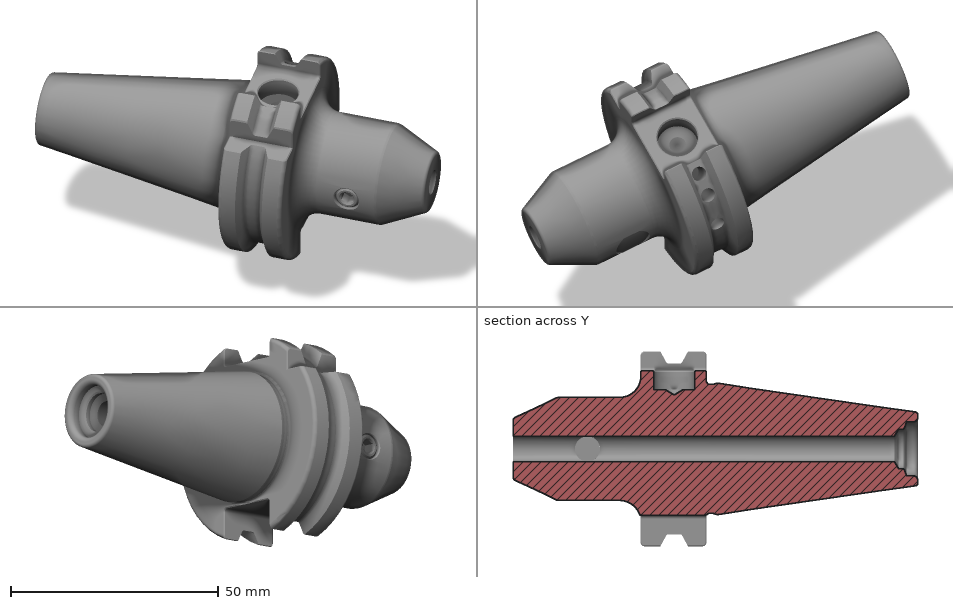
import cadquery as cq
import math

total_length = 97.8

margin = 0.1

tip_radius = 8.9
tip_fillet = 0.8
taper_slope = 7 / 24 / 2
taper_length = 48.4
taper_end_radius = tip_radius + taper_slope * taper_length
relief_radius = 15.6
relief_start = 49.5
relief_blend = 1.0
relief_fillet = 0.6

flange_start = 51.1
flange_end = 67.0
flange_diameter = 50.0
flange_radius = flange_diameter / 2
flange_width = flange_end - flange_start
flange_edge_fillet = 1.0
rim_chamfer = 0.24

groove_middle = 58.9
groove_floor_width = 3.5
groove_floor_radius = 22.2
groove_half_angle = 30
groove_floor_fillet = 0.7

slot_width = 16.4
slot_corner_fillet = 0.8
upper_slot_floor = 18.9
lower_slot_floor = -16.1
notch_wall_y = -14.9
notch_floor_z = 14.9

chip_diameter = 9.8
chip_depth = 4.6
chip_rim_chamfer = 0.3
chip_point_diameter = 4.0
drill_half_angle = 59

balance_angles = [30, 45, 68]
balance_diameter = 3.5
balance_depth = 7.8

nose_radius = 12.5
neck_fillet = 5.0
nose_cone_start = 87.0
nose_cone_blend = 1.4
nose_end_radius = 7.4
nose_end_fillet = 1.0

tool_bore_radius = 3.0
mouth_fillet = 1.2
pilot_radius = 6.5
pilot_depth = 2.7
seat_outer_radius = 5.9
seat_inner_radius = 5.1
seat_start = 2.9
drill_radius = 4.7
drill_start = 3.5
drill_end = 4.7

screw_x = 79.8
screw_radius = 3.0
screw_tip_y = -2.5
screw_head_y = -12.0
screw_chamfer = 0.6
screw_hole_chamfer = 0.24
socket_sides = 6
socket_across_flats = 3.0
socket_depth = 3.0
socket_mouth_radius = 2.0
socket_mouth_depth = 0.5
flat_x = 77.7
flat_diameter = 9.2
flat_y = 11.8


def cone_height(radius):
    return radius / math.tan(math.radians(drill_half_angle))


def spin(outline):
    """Turn a closed outline of (x, radius) around the X axis."""
    return outline.close().revolve(360, (0, 0, 0), (1, 0, 0))


def circle_edges(body, x, radius):
    """The full circles around the X axis at one place along it."""
    reach = radius + margin
    low = (x - margin, -reach, -reach)
    high = (x + margin, reach, reach)
    box = cq.selectors.BoxSelector(low, high, boundingbox=True)
    return body.edges(box).filter(lambda edge: edge.BoundingBox().zlen > 2 * radius - margin)


def make_shank():
    shank = spin(
        cq.Workplane("XY")
        .lineTo(0, tip_radius)
        .lineTo(taper_length, taper_end_radius)
        .lineTo(relief_start, relief_radius)
        .lineTo(flange_start - relief_fillet, relief_radius)
        .radiusArc((flange_start, relief_radius + relief_fillet), -relief_fillet)
        .lineTo(flange_start, 0)
    )
    shank = shank.faces("<X").edges().fillet(tip_fillet)
    return circle_edges(shank, relief_start, relief_radius).fillet(relief_blend)


def make_nose():
    nose = spin(
        cq.Workplane("XY")
        .moveTo(flange_end, 0)
        .lineTo(flange_end, nose_radius + neck_fillet)
        .radiusArc((flange_end + neck_fillet, nose_radius), -neck_fillet)
        .lineTo(nose_cone_start, nose_radius)
        .lineTo(total_length, nose_end_radius)
        .lineTo(total_length, 0)
    )
    nose = nose.faces(">X").edges().fillet(nose_end_fillet)
    return circle_edges(nose, nose_cone_start, nose_radius).fillet(nose_cone_blend)


def slot_cutter(floor_z):
    """A block, rounded along its floor, that opens the rim outwards from floor_z."""
    outward = math.copysign(1, floor_z)
    height = flange_radius
    floor_side = "<Z" if outward > 0 else ">Z"
    return (
        cq.Workplane("XY")
        .box(2 * flange_width, slot_width, height)
        .faces(floor_side)
        .edges("|X")
        .fillet(slot_corner_fillet)
        .translate(((flange_start + flange_end) / 2, 0, floor_z + outward * height / 2))
    )


def notch_cutter():
    size = flange_radius
    return cq.Workplane("XY").box(2 * flange_width, size, size).translate(
        ((flange_start + flange_end) / 2, notch_wall_y - size / 2, notch_floor_z + size / 2)
    )


def chamfer_cut_rim(flange, low_yz, high_yz):
    """Chamfer the outside edges of a cut that lies within a Y-Z box."""

    def on_outside(edge):
        middle = edge.Center()
        along_x = edge.geomType() == "LINE" and edge.BoundingBox().xlen > flange_width / 2
        return not along_x or math.hypot(middle.y, middle.z) > flange_radius - rim_chamfer

    low = (flange_start - margin, *low_yz)
    high = (flange_end + margin, *high_yz)
    box = cq.selectors.BoxSelector(low, high, boundingbox=True)
    return flange.edges(box).filter(on_outside).chamfer(rim_chamfer)


def groove_cutter():
    rise = flange_radius + margin - groove_floor_radius
    floor_half = groove_floor_width / 2
    top_half = floor_half + rise * math.tan(math.radians(groove_half_angle))
    top_radius = groove_floor_radius + rise
    cutter = spin(
        cq.Workplane("XY")
        .moveTo(groove_middle - floor_half, groove_floor_radius)
        .lineTo(groove_middle - top_half, top_radius)
        .lineTo(groove_middle + top_half, top_radius)
        .lineTo(groove_middle + floor_half, groove_floor_radius)
    )
    for side in (-1, 1):
        corner_x = groove_middle + side * floor_half
        cutter = circle_edges(cutter, corner_x, groove_floor_radius).fillet(groove_floor_fillet)
    return cutter


def make_flange():
    flange = cq.Workplane("YZ", origin=(flange_start, 0, 0)).circle(flange_radius).extrude(flange_width)
    flange = flange.edges().fillet(flange_edge_fillet)
    flange = flange.cut(slot_cutter(upper_slot_floor)).cut(slot_cutter(lower_slot_floor)).cut(notch_cutter())
    side = slot_width / 2 + margin
    reach = flange_radius + margin
    flange = chamfer_cut_rim(flange, (-side, upper_slot_floor - margin), (side, reach))
    flange = chamfer_cut_rim(flange, (-side, -reach), (side, lower_slot_floor + margin))
    flange = chamfer_cut_rim(flange, (-reach, notch_floor_z - margin), (notch_wall_y + margin, reach))
    return flange.cut(groove_cutter())


def chip_pocket_cutter():
    radius = chip_diameter / 2
    rim_radius = radius + chip_rim_chamfer
    point_radius = chip_point_diameter / 2
    floor_z = upper_slot_floor - chip_depth
    return (
        cq.Workplane("XZ")
        .moveTo(0, upper_slot_floor)
        .lineTo(rim_radius, upper_slot_floor)
        .lineTo(radius, upper_slot_floor - chip_rim_chamfer)
        .lineTo(radius, floor_z)
        .lineTo(point_radius, floor_z)
        .lineTo(0, floor_z - cone_height(point_radius))
        .close()
        .revolve(360, (0, 0, 0), (0, 1, 0))
        .translate((groove_middle, 0, 0))
    )


def balance_hole_cutter(angle):
    floor_z = groove_floor_radius - balance_depth
    hole = cq.Workplane("XY", origin=(groove_middle, 0, floor_z)).circle(balance_diameter / 2)
    hole = hole.extrude(flange_radius - floor_z)
    return hole.rotate((0, 0, 0), (1, 0, 0), -angle)


def bore_cutter():
    return spin(
        cq.Workplane("XY")
        .lineTo(0, pilot_radius + mouth_fillet)
        .radiusArc((mouth_fillet, pilot_radius), -mouth_fillet)
        .lineTo(pilot_depth, pilot_radius)
        .lineTo(seat_start, seat_outer_radius)
        .lineTo((seat_start + drill_start) / 2, seat_inner_radius)
        .lineTo(drill_start, drill_radius)
        .lineTo(drill_end, drill_radius)
        .lineTo(drill_end + cone_height(drill_radius - tool_bore_radius), tool_bore_radius)
        .lineTo(total_length, tool_bore_radius)
        .lineTo(total_length, 0)
    )


def cut_screw_hole(holder):
    """Cut the side hole into the bore and chamfer its outer rim."""
    hole = cq.Workplane("XZ").center(screw_x, 0).circle(screw_radius).extrude(2 * nose_radius)
    reach = screw_radius + margin
    low = (screw_x - reach, -nose_radius - margin, -reach)
    high = (screw_x + reach, -nose_radius / 2, reach)
    rim_box = cq.selectors.BoxSelector(low, high, boundingbox=True)
    rim = holder.cut(hole).edges(rim_box).filter(lambda edge: edge.geomType() != "LINE")
    return rim.chamfer(screw_hole_chamfer)


def round_flat_cutter():
    return cq.Workplane("XZ", origin=(flat_x, flat_y, 0)).circle(flat_diameter / 2).extrude(-nose_radius)


def make_holder():
    nose = make_nose().cut(slot_cutter(lower_slot_floor))
    holder = make_flange().union(make_shank()).union(nose)
    holder = holder.cut(bore_cutter()).cut(chip_pocket_cutter())
    for angle in balance_angles:
        holder = holder.cut(balance_hole_cutter(angle))
    return cut_screw_hole(holder).cut(round_flat_cutter())


def make_clamping_screw():
    screw = cq.Workplane("XZ", origin=(screw_x, screw_tip_y, 0)).circle(screw_radius)
    screw = screw.extrude(screw_tip_y - screw_head_y).faces("<Y").edges().chamfer(screw_chamfer)
    across_corners = socket_across_flats / math.cos(math.pi / socket_sides)
    socket = (
        cq.Workplane("XZ", origin=(screw_x, screw_head_y, 0))
        .transformed(rotate=(0, 0, 180 / socket_sides))
        .polygon(socket_sides, across_corners)
        .extrude(-socket_depth)
    )
    socket_mouth = cq.Solid.makeCone(
        socket_mouth_radius,
        socket_mouth_radius - socket_mouth_depth,
        socket_mouth_depth,
        cq.Vector(screw_x, screw_head_y, 0),
        cq.Vector(0, 1, 0),
    )
    return screw.cut(socket).cut(cq.Workplane(socket_mouth))


holder = make_holder()
clamping_screw = make_clamping_screw()
result = cq.Compound.makeCompound([holder.val(), clamping_screw.val()])